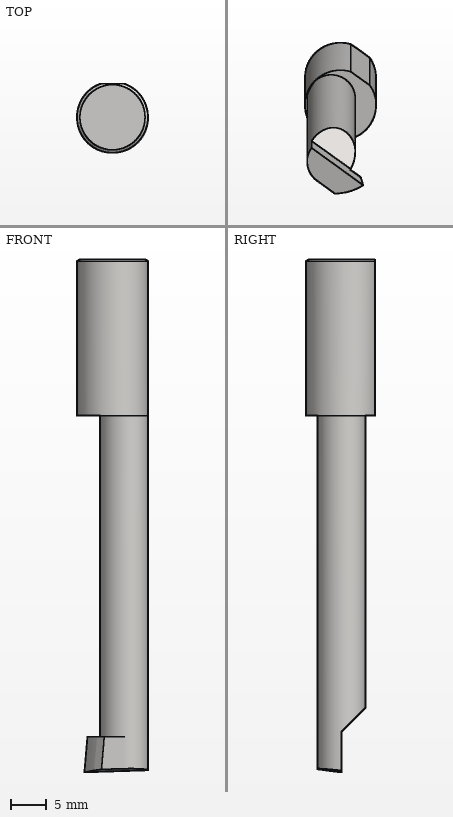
import cadquery as cq
import math

total_length = 72
shank_radius = 5.005
shank_length = 21.95
flat_offset = 4.715
chamfer_width = 0.4
chamfer_height = 0.3

neck_radius = 3.4
neck_x = shank_radius - neck_radius
relief_start = 9.1
relief_angle = 45

head_height = 5.05
heel_y = -2.4
flank_bulge = 0.15
tip_x = -3.95
flank_draft = 0.4
heel_x = -2.6
back_x = -1.6
end_rise_x = 0.3
end_rise_y = 0.35


def make_shank():
    shank_bottom = total_length - shank_length
    shank = cq.Workplane("XY").workplane(offset=shank_bottom).circle(shank_radius).extrude(shank_length)
    shank = shank.faces(">Z").chamfer(chamfer_height, chamfer_width)
    keep = cq.Workplane("XY").box(
        2 * shank_radius, shank_radius + flat_offset, total_length, centered=(True, False, False)
    ).translate((0, -shank_radius, 0))
    return shank.intersect(keep)


def make_neck():
    neck_length = total_length - shank_length
    neck = cq.Workplane("XY").center(neck_x, 0).circle(neck_radius).extrude(neck_length)
    slope_end = relief_start - neck_radius * math.tan(math.radians(relief_angle))
    relief = (
        cq.Workplane("YZ")
        .polyline([(0, 0), (neck_radius, 0), (neck_radius, relief_start), (0, slope_end)])
        .close()
        .extrude(2 * shank_radius, both=True)
    )
    return neck.cut(relief)


def head_outline(plane, shift):
    """Head section with its flank edges moved toward +X by shift."""
    tip = (tip_x + shift, 0)
    heel = (heel_x + shift, heel_y)
    flank_middle = ((tip[0] + heel[0]) / 2 - flank_bulge, heel_y / 2)
    return (
        plane.moveTo(*tip)
        .threePointArc(flank_middle, heel)
        .lineTo(back_x + shift, -neck_radius)
        .lineTo(neck_x, -neck_radius)
        .lineTo(neck_x, 0)
        .close()
    )


def make_head():
    lower = head_outline(cq.Workplane("XY"), 0)
    upper = head_outline(lower.workplane(offset=head_height), flank_draft)
    return upper.loft(ruled=True, combine=True)


def make_end_cutter():
    """Block whose upper face rises from the tip toward +X and -Y."""
    slope_x = end_rise_x / (shank_radius - tip_x)
    slope_y = -end_rise_y / neck_radius
    end_plane = cq.Plane(
        origin=(tip_x, 0, 0), xDir=(1, 0, slope_x), normal=(-slope_x, -slope_y, 1)
    )
    block_size = 4 * shank_radius
    return cq.Workplane(end_plane).rect(block_size, block_size).extrude(-shank_radius)


bar = make_neck().union(make_head()).cut(make_end_cutter())
result = make_shank().union(bar)